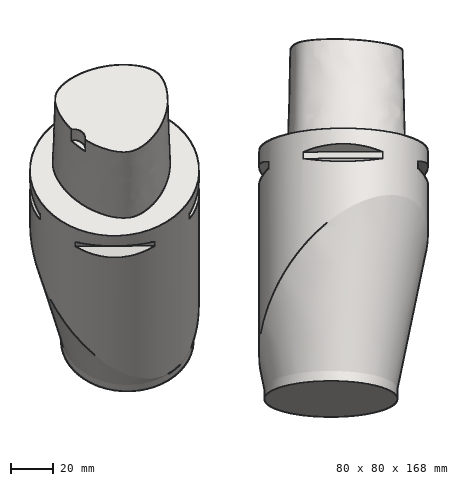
import cadquery as cq
import math

total_height = 168.0
shank_height = 48.0
shoulder_z = total_height - shank_height

body_radius = 80.0 / 2
foot_radius = 63.0 / 2
foot_height = 4.9
foot_offset = body_radius - foot_radius
flare_top_z = 89.7

shank_base_radius = 55.6 / 2
shank_taper = 1 / 20
shank_top_radius = shank_base_radius - shank_height * shank_taper / 2
lobe_height = 2.0
outline_points = 48

keyway_radius = 5.5
keyway_depth = 8.2
keyway_bottom_y = -22.0

groove_count = 4
groove_start_angle = 45
groove_z = 108.0
groove_floor_distance = 35.3
groove_floor_width = 3.2
groove_flank_angle = 30


def make_body():
    """Vertical cylinder trimmed by the eccentric foot and its conical flare."""
    flare_slope = 2 * foot_offset / (flare_top_z - foot_height)
    flare_end_radius = foot_radius + flare_slope * (shoulder_z - foot_height)
    envelope = (
        cq.Workplane("XZ")
        .polyline([
            (0, 0),
            (foot_radius, 0),
            (foot_radius, foot_height),
            (flare_end_radius, shoulder_z),
            (0, shoulder_z),
        ])
        .close()
        .revolve(360, (0, 0), (0, 1))
        .translate((foot_offset, 0, 0))
    )
    return cq.Workplane("XY").circle(body_radius).extrude(shoulder_z).intersect(envelope)


def lobed_outline(mean_radius, z):
    """Closed constant-width three-lobed curve with one lobe pointing to +Y."""
    points = []
    for index in range(outline_points):
        angle = 2 * math.pi * index / outline_points
        along = mean_radius * math.cos(angle)
        along += lobe_height * (2 * math.cos(2 * angle) - math.cos(4 * angle))
        across = mean_radius * math.sin(angle)
        across -= lobe_height * (2 * math.sin(2 * angle) + math.sin(4 * angle))
        points.append(cq.Vector(-across, along, z))
    return cq.Wire.assembleEdges([cq.Edge.makeSpline(points, periodic=True)])


def make_shank():
    base = lobed_outline(shank_base_radius, shoulder_z)
    top = lobed_outline(shank_top_radius, total_height)
    return cq.Workplane(cq.Solid.makeLoft([base, top], True))


def make_keyway():
    return (
        cq.Workplane("XY", origin=(0, keyway_bottom_y - keyway_radius, total_height - keyway_depth))
        .circle(keyway_radius)
        .extrude(keyway_depth)
    )


def make_groove(angle):
    """Straight groove across the body, widening outward from its flat floor."""
    groove_depth = body_radius - groove_floor_distance
    floor_half = groove_floor_width / 2
    mouth_half = floor_half + groove_depth * math.tan(math.radians(groove_flank_angle))
    return (
        cq.Workplane("XZ")
        .polyline([
            (groove_floor_distance, groove_z - floor_half),
            (body_radius, groove_z - mouth_half),
            (body_radius, groove_z + mouth_half),
            (groove_floor_distance, groove_z + floor_half),
        ])
        .close()
        .extrude(body_radius, both=True)
        .rotate((0, 0, 0), (0, 0, 1), angle)
    )


result = make_body().union(make_shank()).cut(make_keyway())
for index in range(groove_count):
    result = result.cut(make_groove(groove_start_angle + index * 360 / groove_count))